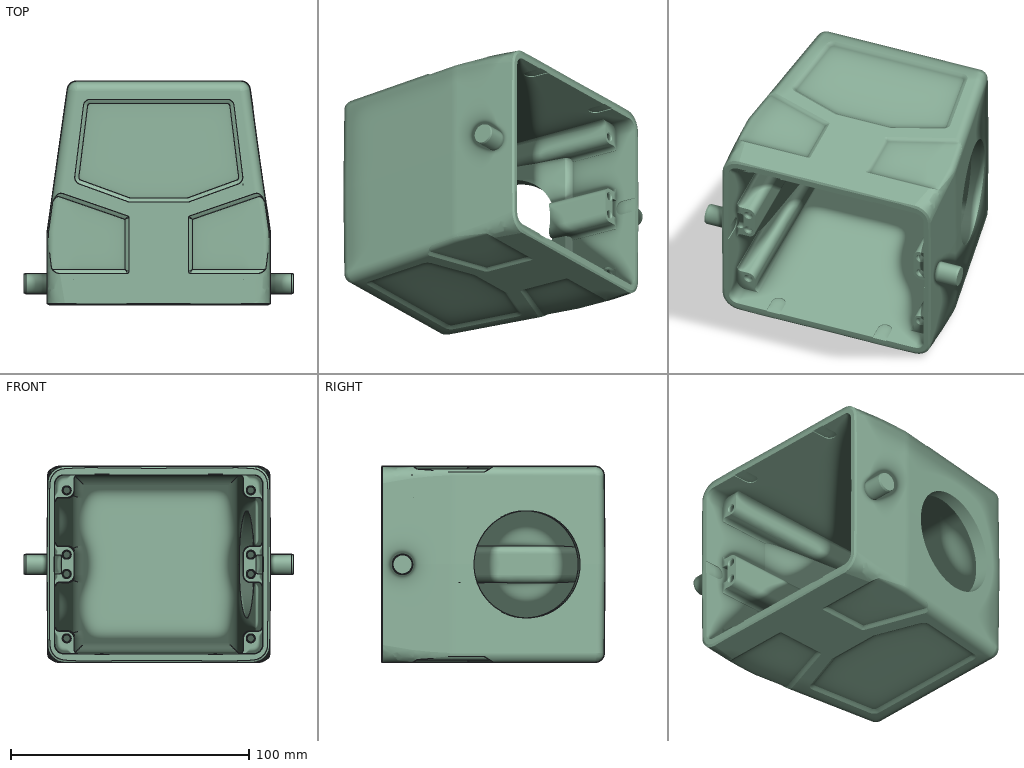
import cadquery as cq
import math

length = 94.0
height = 82.5
half_height = height / 2
half_width = 47.0
bend_y = 30.0
bend_radius = 18.6
slope_angle = 8.0
slope = math.tan(math.radians(slope_angle))
draft_angle = 0.5
draft = math.tan(math.radians(draft_angle))
edge_radius = 4.0
rim_corner_radius = 7.5
middle_corner_radius = 5.1
rim_chamfer_across = 0.5
rim_chamfer_along = 1.0
overlap = 10.0
near = 0.1

wall_x_rim = 43.8
wall_x_bend = 43.4
cavity_bend_y = 33.9
floor_y = 90.0
cavity_half_height_rim = 37.6
cavity_half_height_floor = 37.1
floor_radius = 4.0
cavity_corner_radius = 4.0
pad_foot = (43.4, 31.6)
pad_top = (40.75, 33.3)
pad_round = 0.8
cable_hole_diameter = 45.0
cable_hole_y = 61.2
cable_hole_reach = 20.0

post_tip_y = 9.5
post_x = 35.6
post_corner_radius = 3.0
post_wall_radius = 1.5
post_draft_angle = 0.3
broad_wall_radius = 2.0
corner_post_z = 28.1
middle_post_z = 7.5
screw_x = 38.65
corner_screw_z = 31.1
middle_screw_z = 4.05
screw_diameter = 3.0
screw_chamfer = 0.4
screw_depth = 12.0
notch_x = 40.8
notch_half_height = 4.0
notch_depth = 3.0
notch_radius = 1.0
notch_floor_radius = 0.8

slot_width = 6.0
slot_depth = 0.3
slot_x = 23.85

pin_reach = 56.6
pin_radius = 4.3
pin_y = 8.9
pin_chamfer_across = 0.3
pin_chamfer_along = 0.8

recess_depth = 1.1
recess_edge_radius = 2.6
recess_wall_run = 1.75
recess_wall_angle = math.degrees(math.atan(recess_wall_run / recess_depth))
recess_inner_x = 12.4
panel_back_y = 86.3
panel_back_x = 31.3
panel_front_y = 43.1
panel_side_slope = math.tan(math.radians(7.0))
panel_diagonal_slope = math.tan(math.radians(20.0))
panel_corner_radius = 3.0
panel_front_radius = 2.5
grip_front_y = 13.1
grip_corner_radius = 1.2
grip_side_depth = 2.5
grip_back_y = 37.1
grip_diagonal_slope = math.tan(math.radians(19.0))
grip_outer_x = 41.9

bend_tangent = bend_radius * math.tan(math.radians(slope_angle / 2))
bend_start_y = bend_y - bend_tangent
bend_end_y = bend_y + bend_tangent * math.cos(math.radians(slope_angle))
bend_end_x = half_width - bend_tangent * math.sin(math.radians(slope_angle))
back_x = half_width - (length - bend_y) * slope


def mirrored(solid, plane):
    """The solid joined with its mirror image."""
    return solid.union(solid.mirror(plane))


def outer_half(top_z, radius):
    """Upper half of the outer shape, running past the rim, with its top and back edges rounded."""
    mid_angle = math.radians(slope_angle / 2)
    mid_x = half_width - bend_radius * (1 - math.cos(mid_angle))
    mid_y = bend_start_y + bend_radius * math.sin(mid_angle)
    half = (
        cq.Workplane("XY")
        .moveTo(half_width, -overlap)
        .lineTo(half_width, bend_start_y)
        .threePointArc((mid_x, mid_y), (bend_end_x, bend_end_y))
        .lineTo(back_x, length)
        .lineTo(-back_x, length)
        .lineTo(-bend_end_x, bend_end_y)
        .threePointArc((-mid_x, mid_y), (-half_width, bend_start_y))
        .lineTo(-half_width, -overlap)
        .close()
        .extrude(top_z, taper=draft_angle)
    )
    upright_back = cq.selectors.BoxSelector(
        (-half_width, length - edge_radius, near), (half_width, length + near, top_z - near)
    )
    half = half.edges(upright_back).edges("not #Z").fillet(radius)
    return half.faces(">Z").edges("not <Y").fillet(radius)


def rim_section(y, radius):
    """Outline across the front stretch: sides drafted from z = 0, corners of the given radius."""
    angle = math.radians(draft_angle)
    top_x = half_width - half_height * draft
    center_x = top_x + radius * draft - radius / math.cos(angle)
    center_z = half_height - radius
    arc_mid = math.radians((90 + draft_angle) / 2)
    side = (center_x + radius * math.cos(angle), center_z + radius * math.sin(angle))
    middle = (center_x + radius * math.cos(arc_mid), center_z + radius * math.sin(arc_mid))
    top = (center_x, half_height)

    def at(point, sign_x, sign_z):
        return cq.Vector(sign_x * point[0], y, sign_z * point[1])

    edges = []
    for sx, sz in ((1, 1), (-1, 1), (-1, -1), (1, -1)):
        edges.append(cq.Edge.makeLine(at((half_width, 0), sx, sz), at(side, sx, sz)))
        edges.append(
            cq.Edge.makeThreePointArc(at(side, sx, sz), at(middle, sx, sz), at(top, sx, sz))
        )
    edges.append(cq.Edge.makeLine(at(top, 1, 1), at(top, -1, 1)))
    edges.append(cq.Edge.makeLine(at(top, 1, -1), at(top, -1, -1)))
    return cq.Wire.combine(edges)[0]


def outer_shell():
    """Outer solid: rounded rear part joined to a front part whose corners open up to the rim."""
    front_space = cq.Workplane("XY").box(
        2 * half_width + overlap, 2 * bend_start_y, height + overlap
    )
    rear = mirrored(outer_half(half_height, edge_radius), "XY").cut(front_space)
    sections = [
        rim_section(0, rim_corner_radius),
        rim_section(bend_start_y / 2, middle_corner_radius),
        rim_section(bend_start_y, edge_radius),
    ]
    front = cq.Workplane(obj=cq.Solid.makeLoft(sections))
    front = front.faces("<Y").edges().chamfer(rim_chamfer_across, rim_chamfer_along)
    return rear.union(front)


def recess_tool(sketch, depth):
    """Cutter with sloping walls for one outline in the top face."""
    return (
        cq.Workplane("XY", origin=(0, 0, half_height))
        .placeSketch(sketch)
        .extrude(-depth, taper=recess_wall_angle)
    )


def panel_recess():
    """Six-sided label panel with rounded outer corners."""
    depth_y = panel_back_y - panel_front_y
    corner_x = (
        panel_back_x + panel_side_slope * (depth_y + recess_inner_x * panel_diagonal_slope)
    ) / (1 + panel_side_slope * panel_diagonal_slope)
    corner_y = panel_front_y + (corner_x - recess_inner_x) * panel_diagonal_slope
    sketch = (
        cq.Sketch()
        .polygon([
            (recess_inner_x, panel_front_y),
            (corner_x, corner_y),
            (panel_back_x, panel_back_y),
            (-panel_back_x, panel_back_y),
            (-corner_x, corner_y),
            (-recess_inner_x, panel_front_y),
            (recess_inner_x, panel_front_y),
        ])
        .vertices(">Y or >X or <X")
        .fillet(panel_corner_radius)
        .reset()
        .vertices("<Y")
        .fillet(panel_front_radius)
        .reset()
    )
    return recess_tool(sketch, recess_depth)


def grip_recesses():
    """Both grip recesses; each runs out sideways onto a lower copy of the rounded outer shape."""
    back_y = grip_back_y + (grip_outer_x - recess_inner_x) * grip_diagonal_slope
    outer_x = half_width + overlap
    sketch = cq.Sketch().polygon([
        (recess_inner_x, grip_front_y),
        (outer_x, grip_front_y),
        (outer_x, back_y),
        (grip_outer_x, back_y),
        (recess_inner_x, grip_back_y),
        (recess_inner_x, grip_front_y),
    ])
    sketch = sketch.vertices("<X").fillet(grip_corner_radius).reset()
    lowered = outer_half(half_height - recess_depth, recess_edge_radius)
    return mirrored(recess_tool(sketch, grip_side_depth), "YZ").cut(lowered)


def post(center_z, half_thickness):
    """Post on +X: rounded inner corners, flared into the side wall and into the cavity floor."""
    arc_inset = 1 - math.sqrt(0.5)
    corner = post_corner_radius
    flare = post_wall_radius
    flare_x = wall_x_bend - flare
    outer_z = half_thickness + flare
    corner_z = half_thickness - corner
    corner_mid = (post_x + corner * arc_inset, half_thickness - corner * arc_inset)
    flare_mid = (wall_x_bend - flare * arc_inset, half_thickness + flare * arc_inset)
    tip = cq.Plane(origin=(0, post_tip_y, center_z), xDir=(1, 0, 0), normal=(0, 1, 0))
    body = (
        cq.Workplane(tip)
        .moveTo(half_width, -outer_z)
        .lineTo(wall_x_bend, -outer_z)
        .threePointArc((flare_mid[0], -flare_mid[1]), (flare_x, -half_thickness))
        .lineTo(post_x + corner, -half_thickness)
        .threePointArc((corner_mid[0], -corner_mid[1]), (post_x, -corner_z))
        .lineTo(post_x, corner_z)
        .threePointArc(corner_mid, (post_x + corner, half_thickness))
        .lineTo(flare_x, half_thickness)
        .threePointArc(flare_mid, (wall_x_bend, outer_z))
        .lineTo(half_width, outer_z)
        .close()
        .extrude(floor_y - post_tip_y, taper=-post_draft_angle)
    )
    floor_plate = cq.Workplane("XY", origin=(half_width, floor_y, center_z)).box(
        2 * half_width, overlap, 2 * height, centered=(True, False, True)
    )
    foot_line = cq.selectors.BoxSelector(
        (0, floor_y - near, center_z - outer_z - flare),
        (flare_x, floor_y + near, center_z + outer_z + flare),
    )
    return body.union(floor_plate).edges(foot_line).fillet(floor_radius)


def broad_wall_flare():
    """Concave strip where the inner face of a corner post meets the broad wall."""
    flare = broad_wall_radius
    arc_inset = flare * (1 - math.sqrt(0.5))
    wall_z = cavity_half_height_rim
    return (
        cq.Workplane("XZ", origin=(0, post_tip_y, 0))
        .moveTo(post_x - flare, wall_z)
        .threePointArc((post_x - arc_inset, wall_z - arc_inset), (post_x, wall_z - flare))
        .lineTo(screw_x, wall_z - flare)
        .lineTo(screw_x, half_height)
        .lineTo(post_x - flare, half_height)
        .close()
        .extrude(post_tip_y - floor_y)
    )


def cavity():
    """Tool for the inner space, with the posts left out of it."""
    left_floor_x = wall_x_bend - (floor_y - cavity_bend_y) * slope
    right_floor_x = pad_top[0] - (floor_y - pad_top[1]) * slope
    space = (
        cq.Workplane("XY", origin=(0, 0, -half_height))
        .moveTo(-wall_x_rim, 0)
        .lineTo(wall_x_rim, 0)
        .lineTo(*pad_foot)
        .lineTo(*pad_top)
        .lineTo(right_floor_x, floor_y)
        .lineTo(-left_floor_x, floor_y)
        .lineTo(-wall_x_bend, cavity_bend_y)
        .close()
        .extrude(height)
    )
    for x, y in (pad_foot, pad_top):
        corner = cq.selectors.BoxSelector((x - near, y - near, -height), (x + near, y + near, height))
        space = space.edges(corner).fillet(pad_round)
    wedge = (
        cq.Workplane("YZ", origin=(-half_width, 0, 0))
        .moveTo(0, -cavity_half_height_rim)
        .lineTo(floor_y, -cavity_half_height_floor)
        .lineTo(floor_y, cavity_half_height_floor)
        .lineTo(0, cavity_half_height_rim)
        .close()
        .extrude(2 * half_width)
    )
    space = space.intersect(wedge).faces(">Y").edges().fillet(floor_radius)

    corner_center_z = (corner_post_z + half_height + overlap) / 2
    corner_post = post(corner_center_z, corner_center_z - corner_post_z)
    corner_post = corner_post.union(broad_wall_flare())
    posts = [post(0, middle_post_z), corner_post, corner_post.mirror("XY")]
    for one_post in posts:
        space = space.cut(one_post).cut(one_post.mirror("YZ"))

    reach = cavity_corner_radius / 2
    for side_x in (-wall_x_rim, wall_x_rim):
        for side_z in (-cavity_half_height_rim, cavity_half_height_rim):
            corner = cq.selectors.BoxSelector(
                (side_x - reach, near, side_z - reach),
                (side_x + reach, post_tip_y - near, side_z + reach),
            )
            space = space.edges(corner).fillet(cavity_corner_radius)
    return space


def screw_holes():
    """Chamfered blind holes in the post tips."""
    heights = (-corner_screw_z, -middle_screw_z, middle_screw_z, corner_screw_z)
    points = [(x, z) for x in (-screw_x, screw_x) for z in heights]
    radius = screw_diameter / 2
    mouth_radius = radius + screw_chamfer
    profile = (
        cq.Workplane("XY", origin=(0, post_tip_y, 0))
        .lineTo(mouth_radius, 0)
        .lineTo(radius, screw_chamfer)
        .lineTo(radius, screw_depth)
        .lineTo(0, screw_depth)
        .close()
    )
    hole = profile.revolve(360, (0, 0), (0, 1))
    holes = [hole.translate((x, 0, z)).val() for x, z in points]
    return cq.Workplane(obj=cq.Compound.makeCompound(holes))


def post_notches():
    """Notch between each middle post tip and the side wall."""
    notch = (
        cq.Workplane("XY")
        .box(
            wall_x_rim - notch_x, notch_depth, 2 * notch_half_height,
            centered=(False, False, True),
        )
        .edges("|Y and <X")
        .fillet(notch_radius)
        .faces(">Y")
        .edges("not >X")
        .fillet(notch_floor_radius)
        .translate((notch_x, post_tip_y, 0))
    )
    return mirrored(notch, "YZ")


def round_ended_slot(workplane):
    """Slot sketched with local X along the part's Y, running from the rim to the post tips."""
    straight = post_tip_y - slot_width / 2
    return (
        workplane
        .moveTo(-overlap, -slot_width / 2)
        .lineTo(straight, -slot_width / 2)
        .threePointArc((post_tip_y, 0), (straight, slot_width / 2))
        .lineTo(-overlap, slot_width / 2)
        .close()
    )


def rim_slots():
    """Shallow slots in the cavity walls: two in each broad wall, one in each side wall."""
    wide_plane = cq.Plane(origin=(slot_x, 0, 0), xDir=(0, 1, 0), normal=(0, 0, 1))
    side_plane = cq.Plane(origin=(0, 0, 0), xDir=(0, 1, 0), normal=(1, 0, 0))
    wide = round_ended_slot(cq.Workplane(wide_plane)).extrude(
        cavity_half_height_rim + slot_depth, both=True
    )
    side = round_ended_slot(cq.Workplane(side_plane)).extrude(wall_x_rim + slot_depth, both=True)
    return mirrored(wide, "YZ").union(side)


def locking_pins():
    """Pins standing out from both sides, rooted in the side walls."""
    root_x = (half_width + wall_x_rim) / 2
    pin = (
        cq.Workplane("YZ", origin=(root_x, pin_y, 0))
        .circle(pin_radius)
        .extrude(pin_reach - root_x)
        .faces(">X")
        .chamfer(pin_chamfer_along, pin_chamfer_across)
    )
    return mirrored(pin, "YZ")


def cable_hole():
    """Hole square to the sloping +X side, also cutting through the middle post behind it."""
    wall_x = half_width - (cable_hole_y - bend_y) * slope
    angle = math.radians(slope_angle)
    outward = cq.Vector(math.cos(angle), math.sin(angle), 0)
    start = cq.Vector(wall_x, cable_hole_y, 0) - outward * cable_hole_reach
    bore_length = cable_hole_reach + overlap
    return cq.Workplane(
        obj=cq.Solid.makeCylinder(cable_hole_diameter / 2, bore_length, start, outward)
    )


recesses = panel_recess().union(grip_recesses())

result = (
    outer_shell()
    .cut(mirrored(recesses, "XY"))
    .cut(cavity())
    .cut(rim_slots())
    .cut(post_notches())
    .cut(screw_holes())
    .cut(cable_hole())
    .union(locking_pins())
)